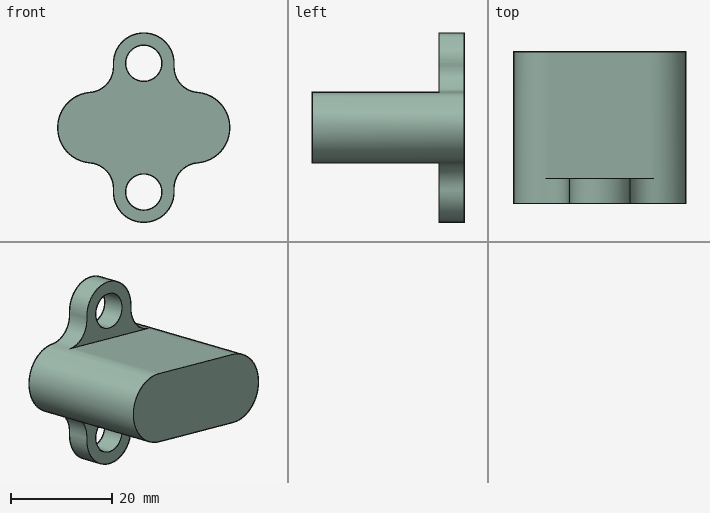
import cadquery as cq
import math

body_width = 34.0
body_height = 14.0
body_length = 30.0

overall_height = 37.4
flange_thickness = 5.0
ear_radius = 6.0
blend_radius = 5.0
hole_diameter = 7.1

end_radius = body_height / 2
end_center_x = body_width / 2 - end_radius
ear_center_z = overall_height / 2 - ear_radius

blend_center_x = ear_radius + blend_radius
center_distance = end_radius + blend_radius
blend_center_z = math.sqrt(center_distance**2 - (blend_center_x - end_center_x) ** 2)
touch_fraction = end_radius / center_distance
touch_x = end_center_x + (blend_center_x - end_center_x) * touch_fraction
touch_z = blend_center_z * touch_fraction

touch_angle = math.atan2(touch_z - blend_center_z, touch_x - blend_center_x)
middle_angle = (touch_angle - math.pi) / 2
blend_middle_x = blend_center_x + blend_radius * math.cos(middle_angle)
blend_middle_z = blend_center_z + blend_radius * math.sin(middle_angle)


def front_plane():
    """XZ plane whose extrusions run toward +Y from the front face at Y = 0."""
    return cq.Workplane(cq.Plane(origin=(0, 0, 0), xDir=(1, 0, 0), normal=(0, -1, 0)))


def make_body():
    return front_plane().slot2D(body_width, body_height).extrude(-body_length)


def make_ear(side):
    """Ear above (side = 1) or below (side = -1) the body, with its blends."""
    return (
        front_plane()
        .moveTo(-touch_x, 0)
        .lineTo(touch_x, 0)
        .lineTo(touch_x, side * touch_z)
        .threePointArc((blend_middle_x, side * blend_middle_z), (ear_radius, side * blend_center_z))
        .lineTo(ear_radius, side * ear_center_z)
        .threePointArc((0, side * overall_height / 2), (-ear_radius, side * ear_center_z))
        .lineTo(-ear_radius, side * blend_center_z)
        .threePointArc((-blend_middle_x, side * blend_middle_z), (-touch_x, side * touch_z))
        .close()
        .extrude(-flange_thickness)
    )


def make_holes():
    return (
        front_plane()
        .pushPoints([(0, ear_center_z), (0, -ear_center_z)])
        .circle(hole_diameter / 2)
        .extrude(-flange_thickness)
    )


result = make_body().union(make_ear(1)).union(make_ear(-1)).cut(make_holes())